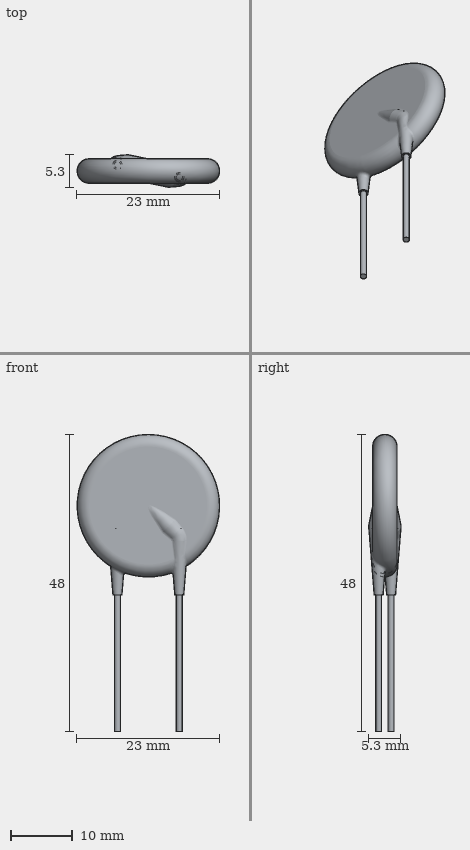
import cadquery as cq
import math

disc_radius = 11.5
disc_thickness = 4.0
rim_radius = disc_thickness / 2
seam_turn = -90.0

overall_height = 48.0
wire_radius = 0.505
lead_x = 5.0
lead_y = 1.0
wire_overlap = 0.5
wire_bottom = disc_radius - overall_height

sleeve_bottom = -14.4
sleeve_bottom_radius = 0.745
elbow_bend_radius = 1.8
elbow_angle = 45.0
elbow_start_radius = 1.45
elbow_end_radius = 1.55
shoulder_radius = 1.65
tip_radius = 0.95
tip_length = 4.7
blend_radius = 0.5

up = cq.Vector(0, 0, 1)
inward = cq.Vector(-1, 0, 1)

diagonal = math.cos(math.radians(elbow_angle))
elbow_end = lead_x - elbow_bend_radius * (1 - diagonal)
elbow_start_z = -elbow_end - elbow_bend_radius * diagonal
shoulder = tip_length * diagonal
shoulder_length = (elbow_end - shoulder) / diagonal


def make_disc():
    straight = disc_radius - rim_radius
    profile = (
        cq.Workplane("XY")
        .moveTo(0, -rim_radius)
        .lineTo(straight, -rim_radius)
        .threePointArc((disc_radius, 0), (straight, rim_radius))
        .lineTo(0, rim_radius)
        .close()
    )
    return profile.revolve(360, (0, 0, 0), (0, 1, 0)).rotate((0, 0, 0), (0, 1, 0), seam_turn)


def cone(start_radius, end_radius, length, x, z, direction):
    """Tapered round bar on the axis plane of the front lead."""
    start = cq.Vector(x, -lead_y, z)
    return cq.Workplane(cq.Solid.makeCone(start_radius, end_radius, length, start, direction))


def make_elbow():
    """Half-right-angle bend whose round section grows along the arc."""
    half_angle = math.radians(elbow_angle / 2)
    middle = (
        lead_x - elbow_bend_radius * (1 - math.cos(half_angle)),
        -lead_y,
        elbow_start_z + elbow_bend_radius * math.sin(half_angle),
    )
    start = (lead_x, -lead_y, elbow_start_z)
    end = (elbow_end, -lead_y, -elbow_end)
    path = cq.Edge.makeThreePointArc(cq.Vector(*start), cq.Vector(*middle), cq.Vector(*end))
    start_section = cq.Wire.makeCircle(elbow_start_radius, cq.Vector(*start), up)
    end_section = cq.Wire.makeCircle(elbow_end_radius, cq.Vector(*end), inward)
    return cq.Workplane(cq.Solid.sweep_multi([start_section, end_section], path))


def make_coating():
    sleeve_length = elbow_start_z - sleeve_bottom
    sleeve = cone(sleeve_bottom_radius, elbow_start_radius, sleeve_length, lead_x, sleeve_bottom, up)
    neck = cone(elbow_end_radius, shoulder_radius, shoulder_length, elbow_end, -elbow_end, inward)
    tip = cone(shoulder_radius, tip_radius, tip_length, shoulder, -shoulder, inward)
    return sleeve.union(make_elbow()).union(neck).union(tip)


def make_wire():
    return (
        cq.Workplane("XY", origin=(lead_x, -lead_y, wire_bottom))
        .circle(wire_radius)
        .extrude(sleeve_bottom - wire_bottom + wire_overlap)
    )


front_coating = make_coating()
front_wire = make_wire()
body = make_disc()
for turn in (0, 180):
    body = body.union(front_coating.rotate((0, 0, 0), (0, 0, 1), turn))

for side in ("<Y", ">Y"):
    flat_face = body.faces("|Y").faces(side)
    body = flat_face.edges("not %CIRCLE").fillet(blend_radius)

for turn in (0, 180):
    body = body.union(front_wire.rotate((0, 0, 0), (0, 0, 1), turn))

result = body